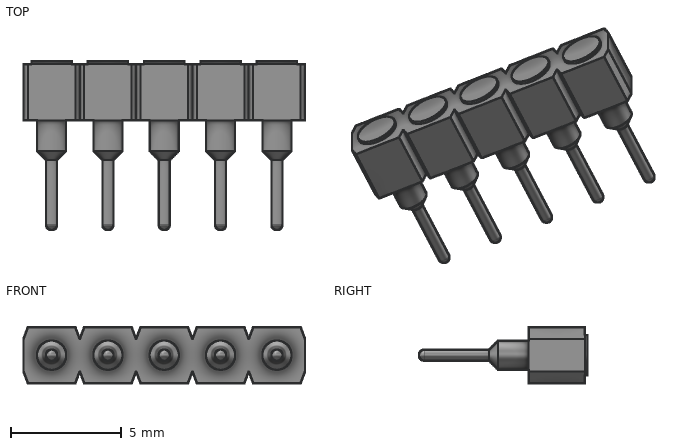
import cadquery as cq
import math

pin_count = 5
pitch = 2.54
overall_depth = 7.62

housing_depth = 2.54
housing_height = 2.54
bevel_height = 0.53
bevel_width = 0.2

head_diameter = 1.83
head_thickness = 0.13
barrel_diameter = 1.32
shoulder_length = 1.37
tail_diameter = 0.51

head_radius = head_diameter / 2
barrel_radius = barrel_diameter / 2
tail_radius = tail_diameter / 2

head_back_y = housing_depth + head_thickness
cone_start_y = -shoulder_length
cone_end_y = cone_start_y - (barrel_radius - tail_radius)
tip_y = head_back_y - overall_depth
tip_start_y = tip_y + tail_radius

pin_x_positions = [(i - (pin_count - 1) / 2) * pitch for i in range(pin_count)]


def make_cell_outline_points(center_x):
    """Eight corners of one bevelled cell in the XZ plane."""
    side = pitch / 2
    flat = side - bevel_width
    top = housing_height / 2
    shoulder = top - bevel_height
    return [
        (center_x - flat, top),
        (center_x + flat, top),
        (center_x + side, shoulder),
        (center_x + side, -shoulder),
        (center_x + flat, -top),
        (center_x - flat, -top),
        (center_x - side, -shoulder),
        (center_x - side, shoulder),
    ]


def make_housing():
    """Joined cells with one straight barrel hole through each."""
    body = cq.Workplane("XZ")
    for x in pin_x_positions:
        cell = cq.Workplane("XZ").polyline(make_cell_outline_points(x)).close().extrude(-housing_depth)
        body = body.union(cell)
    holes = (
        cq.Workplane("XZ")
        .pushPoints([(x, 0) for x in pin_x_positions])
        .circle(barrel_radius)
        .extrude(-housing_depth)
    )
    return body.cut(holes).solids()


def make_pin(x):
    """Turned pin whose head rests on the back face of the housing."""
    tip_arc_point = (
        tail_radius * math.sin(math.pi / 4),
        tip_start_y - tail_radius * math.cos(math.pi / 4),
    )
    profile = (
        cq.Workplane("XY")
        .moveTo(0, head_back_y)
        .lineTo(head_radius, head_back_y)
        .lineTo(head_radius, housing_depth)
        .lineTo(barrel_radius, housing_depth)
        .lineTo(barrel_radius, cone_start_y)
        .lineTo(tail_radius, cone_end_y)
        .lineTo(tail_radius, tip_start_y)
        .threePointArc(tip_arc_point, (0, tip_y))
        .close()
    )
    return profile.revolve(360, (0, 0, 0), (0, 1, 0)).translate((x, 0, 0))


housing = make_housing()
pins = [make_pin(x) for x in pin_x_positions]

result = cq.Compound.makeCompound([housing.val(), *[pin.val() for pin in pins]])